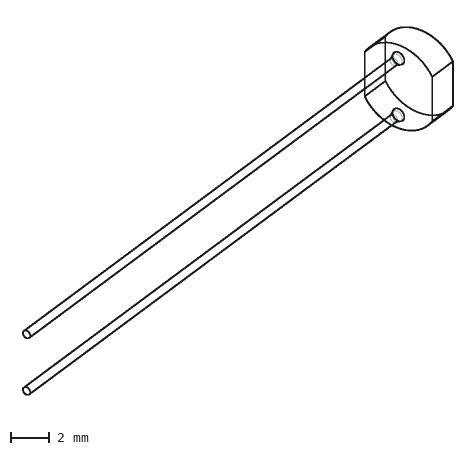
import cadquery as cq

total_length = 35.23
body_diameter = 5.05
body_width = 4.25
body_thickness = 1.85
lead_spacing = 3.4
lead_diameter = 0.45
root_diameter = 0.75
collar_diameter = 0.65
flare_length = 0.15
taper_end = 0.42

lead_length = total_length - body_thickness


def make_body():
    """Disc with its axis along Y, cut by flats on both X sides; its front face is at Y = 0."""
    disc = cq.Workplane("XZ").circle(body_diameter / 2).extrude(-body_thickness)
    flats = cq.Workplane("XZ").rect(body_width, body_diameter).extrude(-body_thickness)
    return disc.intersect(flats)


def make_lead(height):
    """Round lead running toward -Y, flared in two conical steps against the body."""
    half_profile = (
        cq.Workplane("XY")
        .moveTo(0, 0)
        .lineTo(root_diameter / 2, 0)
        .lineTo(collar_diameter / 2, -flare_length)
        .lineTo(lead_diameter / 2, -taper_end)
        .lineTo(lead_diameter / 2, -lead_length)
        .lineTo(0, -lead_length)
        .close()
    )
    return half_profile.revolve(360, (0, 0, 0), (0, 1, 0)).translate((0, 0, height))


result = make_body()
for side in (-1, 1):
    result = result.union(make_lead(side * lead_spacing / 2))